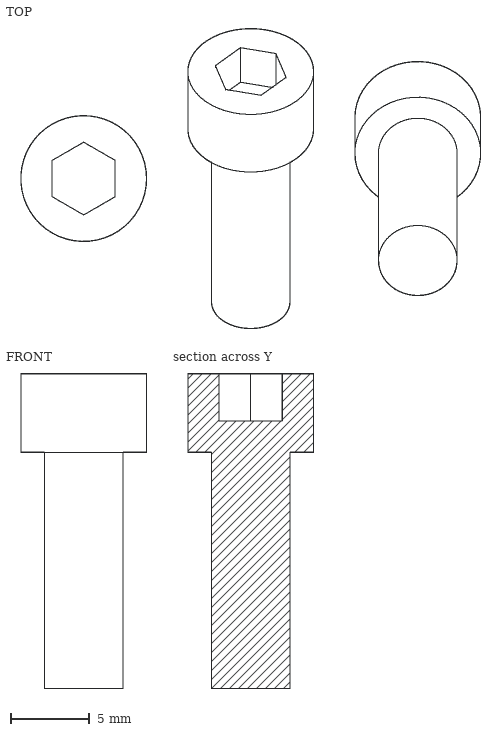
import cadquery as cq
import math

shank_diameter = 5.0
shank_length = 15.0
head_diameter = 8.0
head_height = shank_diameter
socket_across_flats = 4.0
socket_depth = 3.0
socket_sides = 6
socket_turn = 90.0

socket_across_corners = socket_across_flats / math.cos(math.pi / socket_sides)


def make_shank():
    """Plain cylinder hanging below the head's bearing face at Z = 0."""
    return cq.Workplane("XY").circle(shank_diameter / 2).extrude(-shank_length)


def make_head():
    """Cylindrical head standing on the bearing face."""
    return cq.Workplane("XY").circle(head_diameter / 2).extrude(head_height)


def make_socket():
    """Hexagonal drive recess, sunk from the top of the head."""
    return (
        cq.Workplane("XY", origin=(0, 0, head_height))
        .transformed(rotate=(0, 0, socket_turn))
        .polygon(socket_sides, socket_across_corners)
        .extrude(-socket_depth)
    )


result = make_head().union(make_shank()).cut(make_socket())